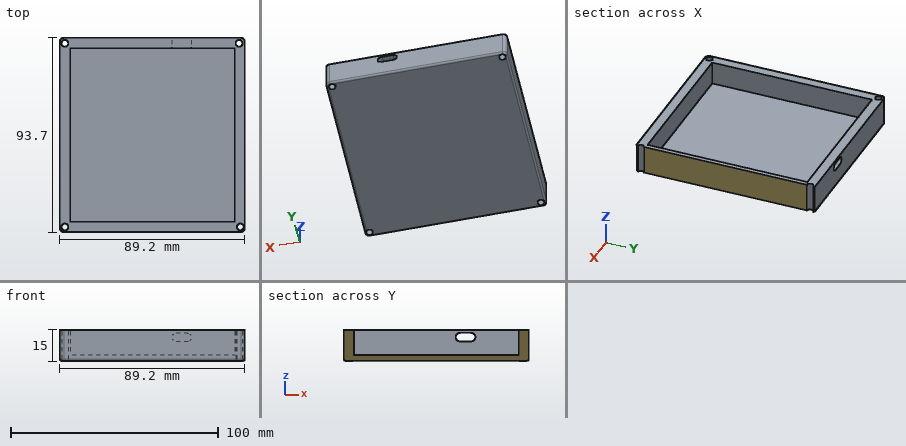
import cadquery as cq

length_x = 89.24
length_y = 93.69
height = 15.0
corner_radius = 2.0
bottom_edge_radius = 1.0

wall = 5.0
floor_thickness = 3.0

screw_hole_diameter = 3.2
screw_hole_corners = [
    (-1, 1, 2.5, 2.7),
    (1, 1, 2.8, 2.7),
    (-1, -1, 2.5, 2.5),
    (1, -1, 2.2, 2.5),
]

slot_length = 9.4
slot_height = 4.0
slot_center_x = 14.1
slot_center_z = 11.5


def make_body():
    """Block with rounded upright corners and a rounded bottom rim."""
    block = cq.Workplane("XY").box(length_x, length_y, height, centered=(True, True, False))
    return block.edges("|Z").fillet(corner_radius).faces("<Z").edges().fillet(bottom_edge_radius)


def make_cavity():
    """Sharp-cornered pocket that leaves the walls and the floor."""
    return cq.Workplane("XY").workplane(offset=floor_thickness).box(
        length_x - 2 * wall,
        length_y - 2 * wall,
        height - floor_thickness,
        centered=(True, True, False),
    )


def make_screw_holes():
    """Cylinders running the full height at the four corners."""
    centers = []
    for side_x, side_y, inset_x, inset_y in screw_hole_corners:
        x = side_x * (length_x / 2 - inset_x)
        y = side_y * (length_y / 2 - inset_y)
        centers.append((x, y))
    return cq.Workplane("XY").pushPoints(centers).circle(screw_hole_diameter / 2).extrude(height)


def make_cable_slot():
    """Round-ended bar spanning the thickness of the +Y wall."""
    inner_face_y = length_y / 2 - wall
    return (
        cq.Workplane("XZ", origin=(slot_center_x, inner_face_y, slot_center_z))
        .slot2D(slot_length, slot_height)
        .extrude(-wall)
    )


result = make_body().cut(make_cavity()).cut(make_screw_holes()).cut(make_cable_slot())